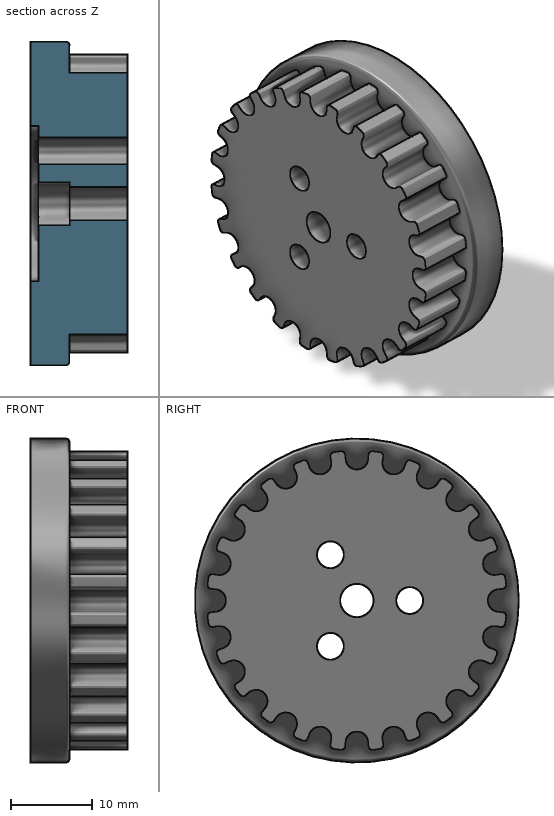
import cadquery as cq
import math

flange_radius = 20.0
flange_thickness = 4.85
flange_fillet = 0.5

total_length = 12.0
tooth_count = 24
tip_circle_radius = 18.5
groove_depth = 2.35
groove_radius = 1.4
groove_wall_angle = math.radians(5)
tooth_tip_fillet = 0.5

recess_radius = 9.55
recess_depth = 1.0
bore_radius = 2.05
counterbore_radius = 2.65
counterbore_end = flange_thickness
bolt_hole_radius = 1.65
bolt_circle_radius = 6.5
bolt_hole_count = 3


def polar(radius, angle, center=(0.0, 0.0)):
    """Point at a radius and angle (radians) around a center."""
    return (
        center[0] + radius * math.cos(angle),
        center[1] + radius * math.sin(angle),
    )


def mirrored(point):
    """Point on the opposite side of the groove at angle 0."""
    return (point[0], -point[1])


def rotated(point, angle):
    """Point turned around the part axis."""
    return polar(math.hypot(*point), math.atan2(point[1], point[0]) + angle)


def disc(radius, start, end):
    """Solid cylinder around the X axis between two X positions."""
    return cq.Workplane("YZ").workplane(offset=start).circle(radius).extrude(end - start)


def make_flange():
    """Disc with its rim rounded on the toothed side."""
    return disc(flange_radius, 0, flange_thickness).faces(">X").edges().fillet(flange_fillet)


def make_toothed_rim():
    """Full-length body with a groove at angle 0 (+Y) and every pitch from there."""
    pitch = 2 * math.pi / tooth_count
    groove_center = tip_circle_radius - groove_depth + groove_radius
    tip_arc_distance = tip_circle_radius - tooth_tip_fillet

    floor_end_angle = math.pi / 2 + groove_wall_angle
    floor_end = polar(groove_radius, floor_end_angle, (groove_center, 0))

    offset_start = polar(tooth_tip_fillet, floor_end_angle, floor_end)
    along_wall = (
        offset_start[0] * math.cos(groove_wall_angle)
        + offset_start[1] * math.sin(groove_wall_angle)
    )
    start_distance = math.hypot(*offset_start)
    wall_length = math.sqrt(along_wall**2 + tip_arc_distance**2 - start_distance**2) - along_wall
    wall_end = polar(wall_length, groove_wall_angle, floor_end)
    tip_arc_center = polar(wall_length, groove_wall_angle, offset_start)
    tip_angle = math.atan2(tip_arc_center[1], tip_arc_center[0])
    tip_arc_middle_angle = (tip_angle + groove_wall_angle - math.pi / 2) / 2
    tip_middle = polar(tooth_tip_fillet, tip_arc_middle_angle, tip_arc_center)

    outline = cq.Workplane("YZ").moveTo(*polar(tip_circle_radius, -tip_angle))
    for index in range(tooth_count):
        angle = index * pitch
        outline = (
            outline
            .threePointArc(rotated(mirrored(tip_middle), angle), rotated(mirrored(wall_end), angle))
            .lineTo(*rotated(mirrored(floor_end), angle))
            .threePointArc(
                polar(tip_circle_radius - groove_depth, angle),
                rotated(floor_end, angle),
            )
            .lineTo(*rotated(wall_end, angle))
            .threePointArc(
                rotated(tip_middle, angle),
                polar(tip_circle_radius, angle + tip_angle),
            )
            .threePointArc(
                polar(tip_circle_radius, angle + pitch / 2),
                polar(tip_circle_radius, angle + pitch - tip_angle),
            )
        )
    return outline.close().extrude(total_length)


def make_bolt_holes():
    """Through holes, the first one on the +Y side."""
    return (
        cq.Workplane("YZ")
        .polarArray(bolt_circle_radius, 0, 360, bolt_hole_count)
        .circle(bolt_hole_radius)
        .extrude(total_length)
    )


result = (
    make_flange()
    .union(make_toothed_rim())
    .cut(disc(recess_radius, 0, recess_depth))
    .cut(disc(counterbore_radius, 0, counterbore_end))
    .cut(disc(bore_radius, 0, total_length))
    .cut(make_bolt_holes())
)